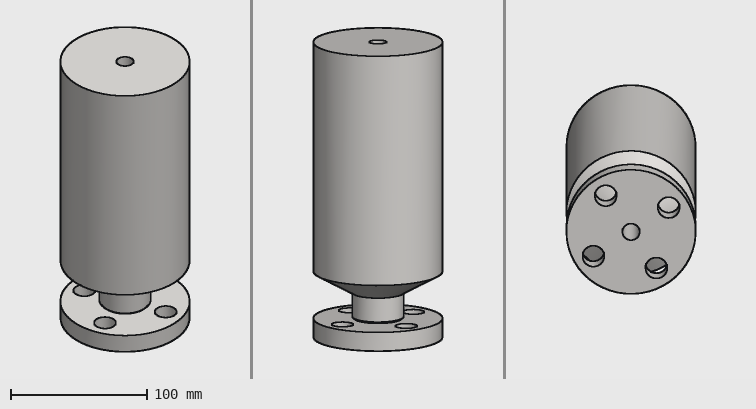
import cadquery as cq

total_height = 222.2
body_diameter = 95.1

plate_thickness = 14.2
bolt_circle_diameter = 66.7
bolt_hole_diameter = 16.0
bolt_hole_count = 4

neck_diameter = 38.0
neck_top = 33.5
neck_chamfer = 1.3

body_bottom = 49.5

bore_diameter = 12.7


def turned_shape():
    """Plate, neck, cone and body revolved about Z as one profile."""
    body_radius = body_diameter / 2
    neck_radius = neck_diameter / 2
    profile = (
        cq.Workplane("XZ")
        .moveTo(0, 0)
        .lineTo(body_radius, 0)
        .lineTo(body_radius, plate_thickness)
        .lineTo(neck_radius - neck_chamfer, plate_thickness)
        .lineTo(neck_radius, plate_thickness + neck_chamfer)
        .lineTo(neck_radius, neck_top)
        .lineTo(body_radius, body_bottom)
        .lineTo(body_radius, total_height)
        .lineTo(0, total_height)
        .close()
    )
    return profile.revolve(360, (0, 0), (0, 1))


def axial_bore():
    return cq.Workplane("XY").circle(bore_diameter / 2).extrude(total_height)


def bolt_holes():
    """Holes through the plate, one on each side of the X and Y axes."""
    return (
        cq.Workplane("XY")
        .polarArray(bolt_circle_diameter / 2, 0, 360, bolt_hole_count)
        .circle(bolt_hole_diameter / 2)
        .extrude(plate_thickness)
    )


result = turned_shape().cut(axial_bore()).cut(bolt_holes())